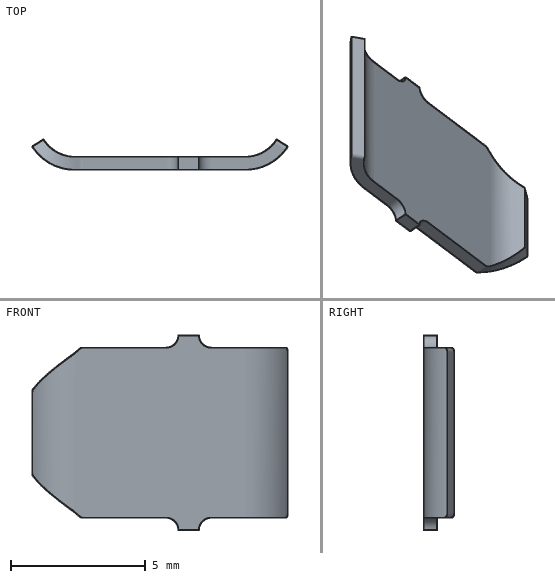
import cadquery as cq
import math

length = 9.53
flat_length = 6.36
body_width = 6.35
thickness = 0.5
inner_radius = 1.38
outer_radius = inner_radius + thickness
bend_angle = math.asin((length - flat_length) / 2 / outer_radius)

overall_width = 7.26
tab_width = 0.77
tab_center_x = 1.07
tab_root_radius = (overall_width - body_width) / 2

taper_slope = 0.85
taper_flat_run = 0.24
taper_corner_radius = 0.19
tip_radius = 0.15

clearance = 0.48
overshoot = 1.2


def bent_end(side):
    """Curved end of the strip at X side -1 or +1."""
    edge_x = side * flat_length / 2

    def bend_point(radius, angle):
        return (edge_x + side * radius * math.sin(angle), outer_radius - radius * math.cos(angle))

    return (
        cq.Workplane("XY", origin=(0, 0, -body_width / 2))
        .moveTo(*bend_point(outer_radius, 0))
        .threePointArc(bend_point(outer_radius, bend_angle / 2), bend_point(outer_radius, bend_angle))
        .lineTo(*bend_point(inner_radius, bend_angle))
        .threePointArc(bend_point(inner_radius, bend_angle / 2), bend_point(inner_radius, 0))
        .close()
        .extrude(body_width)
    )


def flat_sheet():
    """Flat middle with the two left corners tapered where the taper starts."""
    left = -flat_length / 2
    half_width = body_width / 2
    end_half_width = half_width - taper_slope * taper_flat_run
    outline = [
        (left, -end_half_width),
        (left + taper_flat_run, -half_width),
        (-left, -half_width),
        (-left, half_width),
        (left + taper_flat_run, half_width),
        (left, end_half_width),
    ]
    sheet = cq.Workplane("XZ").polyline(outline).close().extrude(-thickness)
    corner_edges = cq.selectors.BoxSelector(
        (left + taper_flat_run / 2, -clearance, -body_width),
        (left + taper_flat_run * 3 / 2, thickness + clearance, body_width),
    )
    return sheet.edges("|Y").edges(corner_edges).fillet(taper_corner_radius)


def tab_pair():
    """Bar across the sheet whose ends are the tabs, with concave quarter-round roots."""
    half_tab = tab_width / 2
    half_root = half_tab + tab_root_radius
    half_body = body_width / 2
    half_overall = overall_width / 2
    arc_offset = tab_root_radius * (1 - math.sqrt(0.5))
    return (
        cq.Workplane("XZ", origin=(tab_center_x, 0, 0))
        .moveTo(-half_root, -half_body)
        .threePointArc((-half_tab - arc_offset, -half_body - arc_offset), (-half_tab, -half_overall))
        .lineTo(half_tab, -half_overall)
        .threePointArc((half_tab + arc_offset, -half_body - arc_offset), (half_root, -half_body))
        .lineTo(half_root, half_body)
        .threePointArc((half_tab + arc_offset, half_body + arc_offset), (half_tab, half_overall))
        .lineTo(-half_tab, half_overall)
        .threePointArc((-half_tab - arc_offset, half_body + arc_offset), (-half_root, half_body))
        .close()
        .extrude(-thickness)
    )


def upper_taper_cutter():
    """Sector twisted about the bend axis: its leading face is a helicoid that
    carries the straight taper around the bend, square to the sheet."""
    neutral_radius = (inner_radius + outer_radius) / 2
    width_per_radian = taper_slope * neutral_radius
    start_z = body_width / 2 - taper_slope * taper_flat_run
    bottom_angle = bend_angle * overshoot
    top_angle = -taper_flat_run * overshoot / neutral_radius
    bottom_z = start_z - width_per_radian * bottom_angle
    height = width_per_radian * (bottom_angle - top_angle)
    tool_inner = inner_radius - clearance
    tool_outer = outer_radius + clearance
    sector_angle = math.pi / 2

    def sector_point(radius, angle):
        return (-radius * math.sin(angle), -radius * math.cos(angle))

    middle_angle = bottom_angle + sector_angle / 2
    end_angle = bottom_angle + sector_angle
    return (
        cq.Workplane("XY", origin=(-flat_length / 2, outer_radius, bottom_z))
        .moveTo(*sector_point(tool_inner, bottom_angle))
        .lineTo(*sector_point(tool_outer, bottom_angle))
        .threePointArc(sector_point(tool_outer, middle_angle), sector_point(tool_outer, end_angle))
        .lineTo(*sector_point(tool_inner, end_angle))
        .threePointArc(sector_point(tool_inner, middle_angle), sector_point(tool_inner, bottom_angle))
        .close()
        .twistExtrude(height, math.degrees(bottom_angle - top_angle))
    )


def round_tips(end, side):
    """Round the two corners at the free edge of a bent end."""
    outermost = "<X" if side < 0 else ">X"
    end_face = end.faces("%PLANE").faces("#Z").faces(outermost)
    return end_face.edges("not |Z").fillet(tip_radius)


upper_cutter = upper_taper_cutter()
lower_cutter = upper_cutter.mirror("XY")
tapered_end = round_tips(bent_end(-1).cut(upper_cutter).cut(lower_cutter), -1)
square_end = round_tips(bent_end(1), 1)

result = flat_sheet().union(tab_pair()).union(tapered_end).union(square_end)